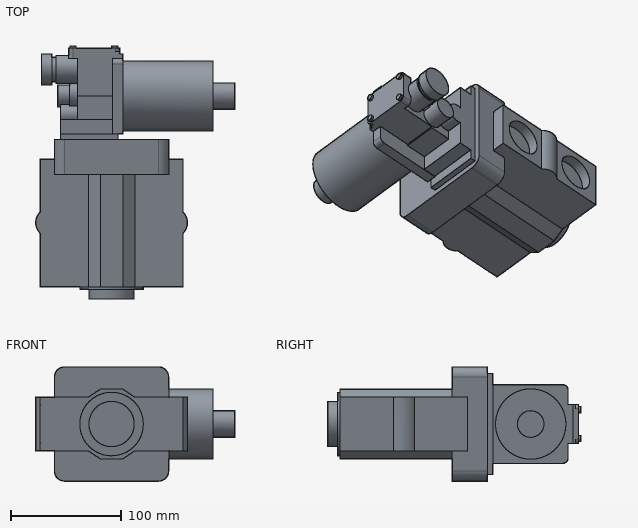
import cadquery as cq


body_width = 130.0
body_length = 116.2
body_height = 48.8
bulge_reach = 69.0
bulge_radius = 13.3
bulge_y = 58.5
spine_base_width = 42.3
spine_top_width = 20.5
spine_height = 63.2
port_diameter = 34.7
port_depth = 9.7
port_positions_y = (25.0, 91.0)

cap_flange_diameter = 57.7
cap_flange_thickness = 2.0
cap_diameter = 41.2
cap_reach = 11.0

flange_side = 104.0
flange_corner_radius = 9.5
flange_front_y = 102.1
flange_back_y = 134.0

pilot_left_x = -46.5
adapter_right_x = 6.0
adapter_back_y = 139.2
adapter_height = 92.0
base_back_y = 152.3
base_height = 70.4

plate_left_x = 1.0
plate_right_x = 10.4
plate_back_y = 207.5
plate_height = 71.8
plate_corner_radius = 5.0
solenoid_y = 173.5
solenoid_diameter = 64.0
solenoid_end_x = 92.2
stub_diameter = 24.2
stub_end_x = 112.0

block_left_x = -31.0
block_right_x = 7.5
block_back_y = 214.1
block_height = 35.6
block_foot_height = 38.6
tab_back_y = 211.8
head_left_x = -39.0
head_front_y = plate_back_y
head_back_y = 217.0
head_corner_radius = 4.0

screw_diameter = 5.8
screw_reach = 2.0
screw_positions_x = (-35.0, 3.0)
screw_z = 13.0

knob_y = 197.5
knob_end_x = -63.7
knob_diameter = 28.5
knob_neck_start_x = -54.3
knob_neck_diameter = 22.5
knob_stem_start_x = -50.5
knob_stem_diameter = 25.8
collar_y = 174.3
collar_z = 1.0
collar_diameter = 21.5
collar_end_x = -38.2
button_z = -7.0
button_diameter = 20.2
button_end_x = -49.0
plug_y = 155.7
plug_diameter = 19.8


def box(x_start, x_end, y_start, y_end, height):
    """Box between the given X and Y limits, centred on Z = 0."""
    size_x = x_end - x_start
    size_y = y_end - y_start
    centre = ((x_start + x_end) / 2, (y_start + y_end) / 2, 0)
    return cq.Workplane("XY").box(size_x, size_y, height).translate(centre)


def cylinder_x(x_start, x_end, y, z, diameter):
    """Cylinder along X between two X positions."""
    plane = cq.Workplane("YZ", origin=(x_start, y, z))
    return plane.circle(diameter / 2).extrude(x_end - x_start)


def cylinder_y(y_start, y_end, x, z, diameter):
    """Cylinder along Y between two Y positions."""
    plane = cq.Workplane("XZ", origin=(x, y_start, z))
    return plane.circle(diameter / 2).extrude(y_start - y_end)


def make_body():
    half_width = body_width / 2
    body = box(-half_width, half_width, 0, body_length, body_height)

    bulge_x = bulge_reach - bulge_radius
    bulges = (
        cq.Workplane("XY", origin=(0, 0, -body_height / 2))
        .pushPoints([(-bulge_x, bulge_y), (bulge_x, bulge_y)])
        .circle(bulge_radius)
        .extrude(body_height)
    )

    spine = (
        cq.Workplane("XZ")
        .moveTo(-spine_base_width / 2, body_height / 2)
        .lineTo(-spine_top_width / 2, spine_height / 2)
        .lineTo(spine_top_width / 2, spine_height / 2)
        .lineTo(spine_base_width / 2, body_height / 2)
        .lineTo(spine_base_width / 2, -body_height / 2)
        .lineTo(spine_top_width / 2, -spine_height / 2)
        .lineTo(-spine_top_width / 2, -spine_height / 2)
        .lineTo(-spine_base_width / 2, -body_height / 2)
        .close()
        .extrude(-body_length)
    )
    body = body.union(bulges).union(spine)

    for port_y in port_positions_y:
        port = cylinder_x(-half_width, -half_width + port_depth, port_y, 0, port_diameter)
        body = body.cut(port)
    return body


def make_end_cap():
    cap_flange = cylinder_y(-cap_flange_thickness, 0, 0, 0, cap_flange_diameter)
    return cap_flange.union(cylinder_y(-cap_reach, 0, 0, 0, cap_diameter))


def make_flange():
    half_side = flange_side / 2
    flange = box(-half_side, half_side, flange_front_y, flange_back_y, flange_side)
    return flange.edges("|Y").fillet(flange_corner_radius)


def make_pilot_base():
    adapter = box(pilot_left_x, adapter_right_x, flange_back_y, adapter_back_y, adapter_height)
    base = box(pilot_left_x, plate_left_x, adapter_back_y, base_back_y, base_height)
    return adapter.union(base)


def make_solenoid():
    plate = box(plate_left_x, plate_right_x, adapter_back_y, plate_back_y, plate_height)
    plate = plate.edges("|X and >Y").fillet(plate_corner_radius)
    coil = cylinder_x(plate_right_x, solenoid_end_x, solenoid_y, 0, solenoid_diameter)
    stub = cylinder_x(solenoid_end_x, stub_end_x, solenoid_y, 0, stub_diameter)
    return plate.union(coil).union(stub)


def make_pilot_block():
    foot = box(block_left_x, plate_left_x, base_back_y, solenoid_y, block_foot_height)
    column = box(block_left_x, plate_left_x, solenoid_y, block_back_y, block_height)
    overhang = box(plate_left_x, block_right_x, plate_back_y, block_back_y, block_height)
    tab = box(plate_left_x, plate_right_x, plate_back_y, tab_back_y, block_height)
    head_cover = box(head_left_x, block_right_x, block_back_y, head_back_y, block_height)
    head_cover = head_cover.edges("|Y").fillet(head_corner_radius)
    head_side = box(head_left_x, plate_left_x, head_front_y, block_back_y, block_height)
    head_side = head_side.edges("|Y and <X").fillet(head_corner_radius)
    block = foot
    for piece in (column, overhang, tab, head_cover, head_side):
        block = block.union(piece)

    for screw_x in screw_positions_x:
        for z in (-screw_z, screw_z):
            screw = cylinder_y(head_back_y, head_back_y + screw_reach, screw_x, z, screw_diameter)
            block = block.union(screw)
    return block


def make_controls():
    knob = cylinder_x(knob_end_x, knob_neck_start_x, knob_y, 0, knob_diameter)
    neck = cylinder_x(knob_neck_start_x, knob_stem_start_x, knob_y, 0, knob_neck_diameter)
    stem = cylinder_x(knob_stem_start_x, block_left_x, knob_y, 0, knob_stem_diameter)
    collar = cylinder_x(collar_end_x, block_left_x, collar_y, collar_z, collar_diameter)
    button = cylinder_x(button_end_x, block_left_x, solenoid_y, button_z, button_diameter)
    plug = cylinder_x(pilot_left_x, block_left_x, plug_y, 0, plug_diameter)
    return [knob, neck, stem, collar, button, plug]


result = make_body()
for part in (make_end_cap(), make_flange(), make_pilot_base(), make_solenoid(), make_pilot_block()):
    result = result.union(part)
for control in make_controls():
    result = result.union(control)